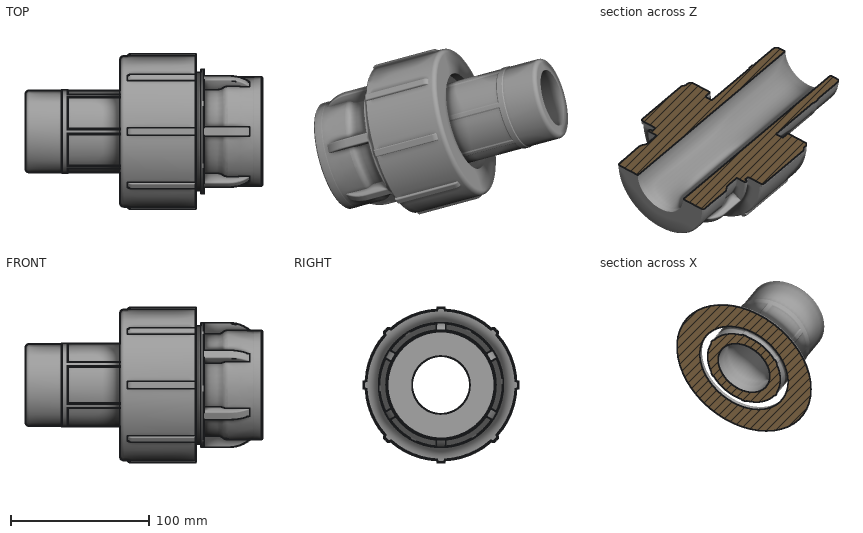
import cadquery as cq
import math

total_length = 172.0
bore_dia = 41.73

spigot_dia = 59.61
spigot_edge_radius = 2.9
band_dia = 60.81
band_start = 26.0
band_end = 30.5
band_front_bevel = 0.6
band_rear_bevel = 0.8

strip_count = 6
strip_top_width = 2.6
strip_foot_width = 4.5

nut_dia = 109.61
nut_bore_dia = 71.54
nut_start = 68.5
nut_end = 123.9
nut_front_radius = 3.1
nut_rear_chamfer = 0.9
nut_recess_depth = 6.0

grip_count = 8
grip_span = 112.99
grip_width = 5.4
grip_edge_radius = 0.8
grip_start = 73.9
grip_nose_length = 3.4

collar_dia = 85.88
flange_dia = 90.4
flange_start = 127.2
flange_end = 129.8
flange_edge_radius = 0.7
neck_dia = 74.3
neck_end = 139.4
socket_dia = 79.7
socket_end_dia = 79.1
socket_start = 146.9
rim_dia = 79.32
rim_length = 6.2
rim_bevel_length = 0.6
rim_chamfer = 1.0

fin_count = 6
fin_width = 6.7
fin_edge_radius = 0.9
fin_arc_start = 147.2
fin_end = 162.7
fin_end_dia = 79.4

fuse_depth = 3.0


def revolve_about_axis(profile):
    """Turn a closed (x, radius) profile around the X axis."""
    return profile.close().revolve(360, (0, 0, 0), (1, 0, 0))


def ring_of(feature, count):
    """Copies of a feature at the +Z side, spread evenly around the X axis."""
    copies = [feature.rotate((0, 0, 0), (1, 0, 0), i * 360 / count) for i in range(count)]
    ring = copies[0]
    for copy in copies[1:]:
        ring = ring.union(copy)
    return ring


def make_spigot():
    spigot_radius = spigot_dia / 2
    band_radius = band_dia / 2
    profile = (
        cq.Workplane("XY")
        .moveTo(0, 0)
        .lineTo(0, spigot_radius - spigot_edge_radius)
        .radiusArc((spigot_edge_radius, spigot_radius), spigot_edge_radius)
        .lineTo(band_start, spigot_radius)
        .lineTo(band_start + band_front_bevel, band_radius)
        .lineTo(band_end, band_radius)
        .lineTo(band_end + band_rear_bevel, spigot_radius)
        .lineTo(nut_end, spigot_radius)
        .lineTo(nut_end, 0)
    )
    return revolve_about_axis(profile)


def make_strips():
    top = band_dia / 2
    foot = math.sqrt((spigot_dia / 2) ** 2 - (strip_foot_width / 2) ** 2)
    strip = (
        cq.Workplane("YZ", origin=(band_end, 0, 0))
        .moveTo(-strip_foot_width / 2, foot - fuse_depth)
        .lineTo(-strip_foot_width / 2, foot)
        .lineTo(-strip_top_width / 2, top)
        .lineTo(strip_top_width / 2, top)
        .lineTo(strip_foot_width / 2, foot)
        .lineTo(strip_foot_width / 2, foot - fuse_depth)
        .close()
        .extrude(nut_end - band_end)
    )
    limit = cq.Workplane("YZ").circle(top).extrude(nut_end)
    return ring_of(strip.intersect(limit), strip_count)


def make_nut():
    radius = nut_dia / 2
    profile = (
        cq.Workplane("XY")
        .moveTo(nut_start, nut_bore_dia / 2)
        .lineTo(nut_start, radius - nut_front_radius)
        .radiusArc((nut_start + nut_front_radius, radius), nut_front_radius)
        .lineTo(nut_end - nut_rear_chamfer, radius)
        .lineTo(nut_end, radius - nut_rear_chamfer)
        .lineTo(nut_end, 0)
        .lineTo(nut_start + nut_recess_depth, 0)
        .lineTo(nut_start + nut_recess_depth, nut_bore_dia / 2)
    )
    return revolve_about_axis(profile)


def make_grips():
    top = grip_span / 2
    foot = nut_dia / 2
    grip = (
        cq.Workplane("XZ")
        .moveTo(nut_end, foot - fuse_depth)
        .lineTo(nut_end, top - nut_rear_chamfer)
        .lineTo(nut_end - nut_rear_chamfer, top)
        .lineTo(grip_start + grip_nose_length, top)
        .tangentArcPoint((grip_start, foot), relative=False)
        .lineTo(grip_start, foot - fuse_depth)
        .close()
        .extrude(grip_width / 2, both=True)
        .faces(">Z")
        .edges("|X")
        .fillet(grip_edge_radius)
    )
    return ring_of(grip, grip_count)


def make_body():
    flange_radius = flange_dia / 2
    neck_radius = neck_dia / 2
    socket_radius = socket_dia / 2
    rim_radius = rim_dia / 2
    shoulder_x = (neck_end + socket_start) / 2
    shoulder_radius = (neck_radius + socket_radius) / 2
    profile = (
        cq.Workplane("XY")
        .moveTo(nut_end, 0)
        .lineTo(nut_end, collar_dia / 2)
        .lineTo(flange_start, collar_dia / 2)
        .lineTo(flange_start, flange_radius - flange_edge_radius)
        .radiusArc((flange_start + flange_edge_radius, flange_radius), flange_edge_radius)
        .lineTo(flange_end - flange_edge_radius, flange_radius)
        .radiusArc((flange_end, flange_radius - flange_edge_radius), flange_edge_radius)
        .lineTo(flange_end, neck_radius)
        .lineTo(neck_end, neck_radius)
        .tangentArcPoint((shoulder_x, shoulder_radius), relative=False)
        .tangentArcPoint((socket_start, socket_radius), relative=False)
        .lineTo(total_length - rim_length - rim_bevel_length, socket_end_dia / 2)
        .lineTo(total_length - rim_length, rim_radius)
        .lineTo(total_length - rim_chamfer, rim_radius)
        .lineTo(total_length, rim_radius - rim_chamfer)
        .lineTo(total_length, 0)
    )
    return revolve_about_axis(profile)


def make_fins():
    top = flange_dia / 2
    root = neck_dia / 2 - fuse_depth
    fin_start = flange_end - flange_edge_radius
    fin = (
        cq.Workplane("XZ")
        .moveTo(fin_start, root)
        .lineTo(fin_start, top)
        .lineTo(fin_arc_start, top)
        .tangentArcPoint((fin_end, fin_end_dia / 2), relative=False)
        .lineTo(fin_end, root)
        .close()
        .extrude(fin_width / 2, both=True)
        .faces(">Z")
        .edges("|X")
        .fillet(fin_edge_radius)
    )
    return ring_of(fin, fin_count)


bore = cq.Workplane("YZ").circle(bore_dia / 2).extrude(total_length)
result = (
    make_spigot()
    .union(make_strips())
    .union(make_nut())
    .union(make_grips())
    .union(make_body())
    .union(make_fins())
    .cut(bore)
)